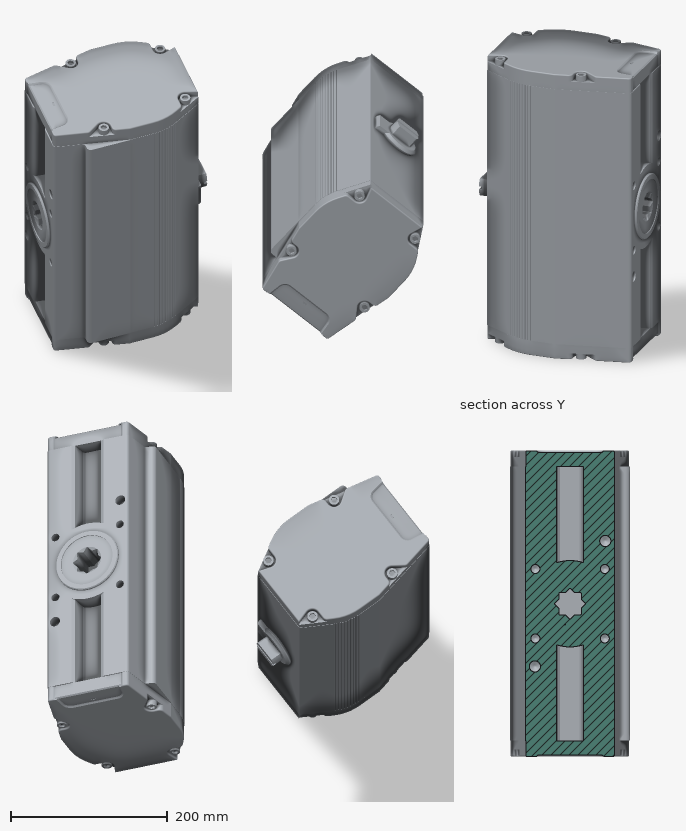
import cadquery as cq
import math


length = 390.0
half_width = 76.0
body_depth = 200.5
front_half = 55.5
front_slant_end = 96.5
shoulder_radius = 70.2
shoulder_start = 127.0
back_slant = math.radians(30)
front_corner_radius = 4.0

cap_thickness = 20.3
cap_inset = 0.5
cap_edge_radius = 1.5
body_length = length - 2 * cap_thickness
cap_top = length / 2
body_top = body_length / 2

bolt_pockets = [
    (46.8, 181.5, 0, 72),
    (61.5, 65.5, -55, 0),
]
pocket_radius = 9.5
pocket_depth = 8.5
pocket_reach = 46.8
pocket_mouth_radius = 6.0
bolt_head_radius = 6.5
bolt_head_height = 7.8
bolt_socket_diameter = 8.5
bolt_socket_depth = 3.5

panel_half_width = 48.0
panel_height = 28.0
panel_corner = 11.7
panel_side_step = 7.8
panel_depth = 2.0
panel_draft = 50
panel_front_step = 1.0
panel_front_half = 48.5
panel_front_floor_half = 45.5
panel_edge_chamfer = 1.5
panel_mark_y = 20.0
mark_length = 6.2
mark_width = 2.7
mark_depth = 0.5

groove_count = 9
groove_width = 2.5
groove_depth = 1.35
groove_overshoot = 0.5

rail_outer = 76.5
rail_inner = 45.0
rail_front = 39.0
rail_front_radius = 5.5
rail_root_radius = 3.0

channel_mouth_half = 22.0
channel_lip_half = 18.0
channel_lip_depth = 2.0
channel_wall_half = 15.0
channel_wall_depth = 20.3
channel_floor_half = 12.5
channel_depth = 23.0
boss_radius = 55.5

ring_radius = 43.0
ring_height = 3.0
ring_chamfer = 1.0
ring_face_radius = 35.5
ring_face_depth = 1.0
socket_mouth_radius = 19.3
socket_mouth_depth = 2.5
socket_root_radius = 15.2
star_corner_radius = 20.0
star_depth = 39.0

mount_spacing = 88.5
mount_radius = 5.5
port_x = 45.0
port_z = 80.0
port_radius = 6.82
hole_depth = 15.5
drill_tip_angle = math.radians(59)

flange_base_radius = 27.3
flange_radius = 28.5
flange_top_radius = 24.5
flange_rim = 3.5
flange_height = 7.0
pointer_base = 37.0
pointer_top = 34.7
pointer_half_width = 15.5
shaft_radius = 18.0
shaft_flat_half = 11.5
shaft_height = 21.5
shaft_slot_width = 4.3
shaft_slot_depth = 4.3

overlap = 4.0


def extrude_up(outline, bottom, top):
    """Extrude a closed XY outline between two heights."""
    return outline.extrude(top - bottom).translate((0, 0, bottom))


def along_y(radius, start, end):
    """A cylinder on the shaft axis."""
    return cq.Workplane("XZ", origin=(0, start, 0)).circle(radius).extrude(start - end)


def mirrored_ends(shape):
    return shape.union(shape.mirror("XY"))


def front_slant_x(y):
    """Half-width of the housing on its front slant."""
    return front_half + (half_width - front_half) * y / front_slant_end


def shoulder_point(angle, radius=shoulder_radius):
    return (half_width - shoulder_radius + radius * math.cos(angle),
            shoulder_start + radius * math.sin(angle))


def housing_outline():
    mid = shoulder_point(back_slant / 2)
    end = shoulder_point(back_slant)
    back_half = end[0] - (body_depth - end[1]) * math.tan(back_slant)
    return (
        cq.Workplane("XY")
        .moveTo(front_half, 0)
        .lineTo(half_width, front_slant_end)
        .lineTo(half_width, shoulder_start)
        .threePointArc(mid, end)
        .lineTo(back_half, body_depth)
        .lineTo(-back_half, body_depth)
        .lineTo(-end[0], end[1])
        .threePointArc((-mid[0], mid[1]), (-half_width, shoulder_start))
        .lineTo(-half_width, front_slant_end)
        .lineTo(-front_half, 0)
        .close()
    )


def housing_prism(bottom, top, inset=0):
    outline = housing_outline()
    if inset:
        outline = outline.offset2D(-inset)
    solid = extrude_up(outline, bottom, top)
    return solid.edges("|Z and <Y").fillet(front_corner_radius)


def shoulder_grooves():
    pitch = back_slant / groove_count
    half_angle = groove_width / shoulder_radius / 2
    outer = shoulder_radius + groove_overshoot
    grooves = cq.Workplane("XY")
    for i in range(groove_count):
        angle = (i + 0.5) * pitch
        wedge = cq.Workplane("XY").polyline([
            shoulder_point(angle - half_angle, outer),
            shoulder_point(angle + half_angle, outer),
            shoulder_point(angle, shoulder_radius - groove_depth),
        ]).close()
        groove = extrude_up(wedge, -body_top, body_top)
        grooves = grooves.union(groove).union(groove.mirror("YZ"))
    return grooves


def rail():
    outline = (
        cq.Workplane("XY")
        .moveTo(rail_inner, rail_front)
        .lineTo(rail_outer, rail_front)
        .lineTo(rail_outer, front_slant_end)
        .lineTo(rail_inner, front_slant_end)
        .close()
    )
    solid = extrude_up(outline, -body_top, body_top)
    return solid.edges("|Z and >X and <Y").fillet(rail_front_radius)


def rail_root():
    """Selects the inside corner between the rail's front and the slanted side."""
    x = front_slant_x(rail_front)
    margin = 0.5
    return cq.selectors.BoxSelector(
        (x - margin, rail_front - margin, -body_top),
        (x + margin, rail_front + margin, body_top),
    )


def channel():
    half = [
        (channel_mouth_half, 0),
        (channel_lip_half, channel_lip_depth),
        (channel_wall_half, channel_wall_depth),
        (channel_floor_half, channel_depth),
    ]
    outline = half + [(-x, y) for x, y in reversed(half)]
    trough = extrude_up(cq.Workplane("XY").polyline(outline).close(), -body_top, body_top)
    return trough.cut(along_y(boss_radius, 0, channel_depth))


def bolt_pocket(x, y, clockwise_wall, other_wall):
    """A round-ended pocket that widens towards the outside of the cap."""
    a = math.radians(clockwise_wall)
    b = math.radians(other_wall)
    start_a = (x + pocket_radius * math.sin(a), y - pocket_radius * math.cos(a))
    start_b = (x - pocket_radius * math.sin(b), y + pocket_radius * math.cos(b))
    end_a = (start_a[0] + pocket_reach * math.cos(a), start_a[1] + pocket_reach * math.sin(a))
    end_b = (start_b[0] + pocket_reach * math.cos(b), start_b[1] + pocket_reach * math.sin(b))
    mouth = cq.Workplane("XY").polyline([(x, y), start_a, end_a, end_b, start_b]).close()
    round_end = cq.Workplane("XY").center(x, y).circle(pocket_radius)
    floor = cap_top - pocket_depth
    return extrude_up(mouth, floor, cap_top).union(extrude_up(round_end, floor, cap_top))


def is_pocket_mouth(edge):
    """True for the upright edges where a pocket wall breaks out through the cap's sides."""
    middle = edge.Center()
    is_short = edge.Length() < cap_thickness / 2
    is_on_side = middle.y < body_depth - cap_edge_radius
    distances = [math.hypot(abs(middle.x) - x, middle.y - y) for x, y, _, _ in bolt_pockets]
    return is_short and is_on_side and min(distances) > pocket_radius + cap_edge_radius


def bolt_head(x, y):
    floor = cap_top - pocket_depth
    top = floor + bolt_head_height
    head = cq.Workplane("XY", origin=(x, y, floor)).circle(bolt_head_radius).extrude(bolt_head_height)
    socket = (
        cq.Workplane("XY", origin=(x, y, top - bolt_socket_depth))
        .polygon(6, bolt_socket_diameter)
        .extrude(bolt_socket_depth)
    )
    return head.cut(socket)


def label_panel():
    """The recess in the cap's end face, with rounded rear corners and sloping walls."""
    rear_half = panel_half_width - panel_side_step
    outline = (
        cq.Sketch()
        .polygon([
            (-panel_half_width, -panel_height),
            (panel_half_width, -panel_height),
            (rear_half, panel_height),
            (-rear_half, panel_height),
            (-panel_half_width, -panel_height),
        ])
        .vertices(">Y")
        .fillet(panel_corner)
    )
    end_face = cq.Workplane("XY", origin=(0, 0, cap_top))
    return end_face.placeSketch(outline).extrude(-panel_depth, taper=panel_draft)


def panel_front():
    """The shallow step below the label panel, with slanted sides and a chamfered upper edge."""
    back = cap_inset + panel_front_step
    step = cq.Workplane("XY").polyline([
        (-panel_front_half, 0),
        (panel_front_half, 0),
        (panel_front_floor_half, back),
        (-panel_front_floor_half, back),
    ]).close()
    panel_floor = cap_top - panel_depth
    edge = cq.Workplane("YZ").polyline([
        (0, panel_floor - panel_edge_chamfer),
        (back, panel_floor - panel_edge_chamfer),
        (back + panel_edge_chamfer, panel_floor),
        (0, panel_floor),
    ]).close()
    return extrude_up(step, body_top, cap_top).union(edge.extrude(panel_front_floor_half, both=True))


def cap():
    solid = housing_prism(body_top, cap_top, cap_inset)
    for x, y, clockwise_wall, other_wall in bolt_pockets:
        pocket = bolt_pocket(x, y, clockwise_wall, other_wall)
        solid = solid.cut(pocket).cut(pocket.mirror("YZ"))
    solid = solid.edges("|Z").filter(is_pocket_mouth).fillet(pocket_mouth_radius)
    solid = solid.faces(">Z").edges().fillet(cap_edge_radius)
    solid = solid.cut(label_panel()).cut(panel_front())
    mark = cq.Workplane("XY").center(0, panel_mark_y).rect(mark_length, mark_width)
    panel_floor = cap_top - panel_depth
    solid = solid.cut(extrude_up(mark, panel_floor - mark_depth, panel_floor))
    for x, y, _, _ in bolt_pockets:
        head = bolt_head(x, y)
        solid = solid.union(head).union(head.mirror("YZ"))
    return solid


def front_ring():
    ring = along_y(ring_radius, -ring_height, overlap).faces("<Y").edges().chamfer(ring_chamfer)
    return ring.cut(along_y(ring_face_radius, -ring_height, ring_face_depth - ring_height))


def shaft_socket():
    """Two crossed squares, one turned by 45 degrees, with trimmed corners and a conical lead-in."""
    face = ring_face_depth - ring_height
    side = star_corner_radius * math.sqrt(2)
    square = cq.Workplane("XZ", origin=(0, face, 0)).rect(side, side).extrude(-star_depth)
    star = square.union(square.rotate((0, 0, 0), (0, 1, 0), 45))
    star = star.intersect(along_y(socket_mouth_radius, face, face + star_depth))
    lead_in = cq.Workplane("XY").polyline([
        (0, face),
        (socket_mouth_radius, face),
        (socket_root_radius, face + socket_mouth_depth),
        (0, face + socket_mouth_depth),
    ]).close().revolve(360, (0, 0, 0), (0, 1, 0))
    return star.union(lead_in)


def drilled_hole(x, z, radius):
    tip = hole_depth + radius / math.tan(drill_tip_angle)
    profile = cq.Workplane("XY").polyline([(0, 0), (radius, 0), (radius, hole_depth), (0, tip)]).close()
    return profile.revolve(360, (0, 0, 0), (0, 1, 0)).translate((x, 0, z))


def front_holes():
    half = mount_spacing / 2
    holes = drilled_hole(port_x, port_z, port_radius)
    holes = holes.union(drilled_hole(-port_x, -port_z, port_radius))
    for x in (-half, half):
        for z in (-half, half):
            holes = holes.union(drilled_hole(x, z, mount_radius))
    return holes


def rear_flange():
    """The round flange on the rear face with a flat pointer on its +X side."""
    rim = body_depth + flange_rim
    top = body_depth + flange_height
    profile = cq.Workplane("XY").polyline([
        (0, body_depth - overlap),
        (flange_base_radius, body_depth - overlap),
        (flange_base_radius, body_depth),
        (flange_radius, rim),
        (flange_top_radius, top),
        (0, top),
    ]).close()
    flange = profile.revolve(360, (0, 0, 0), (0, 1, 0))
    pointer = (
        cq.Workplane("XY", origin=(0, 0, -pointer_half_width))
        .polyline([
            (0, body_depth),
            (pointer_base, body_depth),
            (pointer_base, rim),
            (pointer_top, top),
            (0, top),
        ])
        .close()
        .extrude(2 * pointer_half_width)
    )
    return flange.union(pointer)


def shaft_end():
    """The shaft end with two flats and a slot across its top."""
    top = body_depth + shaft_height
    shaft = along_y(shaft_radius, body_depth, top)
    flats = cq.Workplane("XZ", origin=(0, top, 0)).rect(2 * shaft_radius, 2 * shaft_flat_half)
    slot = cq.Workplane("XZ", origin=(0, top, 0)).rect(2 * shaft_radius, shaft_slot_width)
    return shaft.intersect(flats.extrude(shaft_height)).cut(slot.extrude(shaft_slot_depth))


body = housing_prism(-body_top, body_top)
body = body.cut(shoulder_grooves())
body = body.union(rail())
body = body.edges(rail_root()).fillet(rail_root_radius)
body = body.cut(channel()).cut(front_holes())
body = body.union(mirrored_ends(cap()))
body = body.union(front_ring()).cut(shaft_socket())
result = body.union(rear_flange()).union(shaft_end())